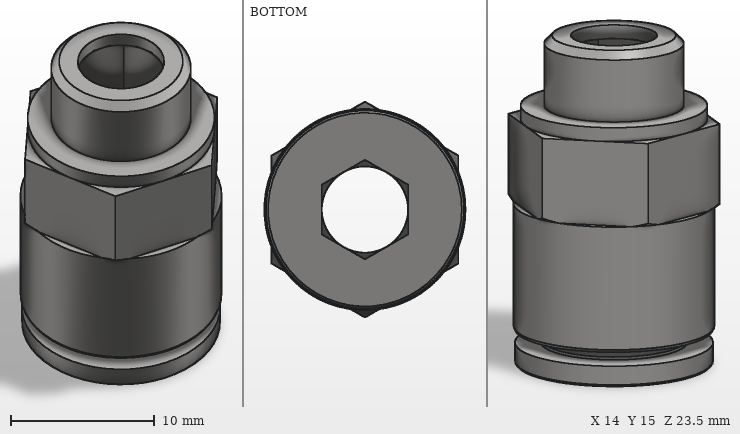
import cadquery as cq
import math

flange_height = 1.5
groove_height = 0.99
body_height = 9.0
hex_height = 6.02
washer_height = 0.99
total_height = 23.5

flange_diameter = 13.8
neck_diameter = 10.0
neck_foot_diameter = 10.15
body_diameter = 14.0
hex_across_flats = 13.0
spigot_diameter = 9.73

flange_chamfer = 0.16
neck_foot_height = 0.19
body_chamfer_height = 0.2
body_chamfer_width = 0.12
hex_chamfer_angle = 30
spigot_chamfer = 0.56

bore_diameter = 6.0
mouth_depth = 0.99

groove_bottom = flange_height
body_bottom = groove_bottom + groove_height
hex_bottom = body_bottom + body_height
washer_bottom = hex_bottom + hex_height
spigot_bottom = washer_bottom + washer_height


def cylinder(diameter, bottom, top):
    return cq.Workplane("XY").workplane(offset=bottom).circle(diameter / 2).extrude(top - bottom)


def hexagon(across_flats, bottom, top):
    """Hexagonal prism with corners on the Y axis."""
    across_corners = across_flats / math.cos(math.radians(30))
    prism = cq.Workplane("XY").polygon(6, across_corners).extrude(top - bottom)
    return prism.rotate((0, 0, 0), (0, 0, 1), 90).translate((0, 0, bottom))


def make_lower_sleeve():
    """Flange, grooved neck and body, revolved as one profile."""
    flange_radius = flange_diameter / 2
    neck_radius = neck_diameter / 2
    body_radius = body_diameter / 2
    profile = [
        (0, 0),
        (flange_radius - flange_chamfer, 0),
        (flange_radius, flange_chamfer),
        (flange_radius, groove_bottom),
        (neck_foot_diameter / 2, groove_bottom),
        (neck_radius, groove_bottom + neck_foot_height),
        (neck_radius, body_bottom),
        (body_radius - body_chamfer_width, body_bottom),
        (body_radius, body_bottom + body_chamfer_height),
        (body_radius, hex_bottom),
        (0, hex_bottom),
    ]
    return cq.Workplane("XZ").polyline(profile).close().revolve(360, (0, 0), (0, 1))


def make_hex():
    """Wrench hexagon whose lower corners are trimmed by a cone."""
    prism = hexagon(hex_across_flats, hex_bottom, washer_bottom)
    base_radius = body_diameter / 2
    cone_spread = hex_height / math.tan(math.radians(hex_chamfer_angle))
    profile = [
        (0, hex_bottom),
        (base_radius, hex_bottom),
        (base_radius + cone_spread, washer_bottom),
        (0, washer_bottom),
    ]
    cone = cq.Workplane("XZ").polyline(profile).close().revolve(360, (0, 0), (0, 1))
    return prism.intersect(cone)


washer = cylinder(hex_across_flats, washer_bottom, spigot_bottom)
spigot = cylinder(spigot_diameter, spigot_bottom, total_height).faces(">Z").chamfer(spigot_chamfer)

mouth = cylinder(bore_diameter, total_height - mouth_depth, total_height)
socket = hexagon(bore_diameter, 0, total_height - mouth_depth)

result = make_lower_sleeve().union(make_hex()).union(washer).union(spigot)
result = result.cut(mouth).cut(socket)